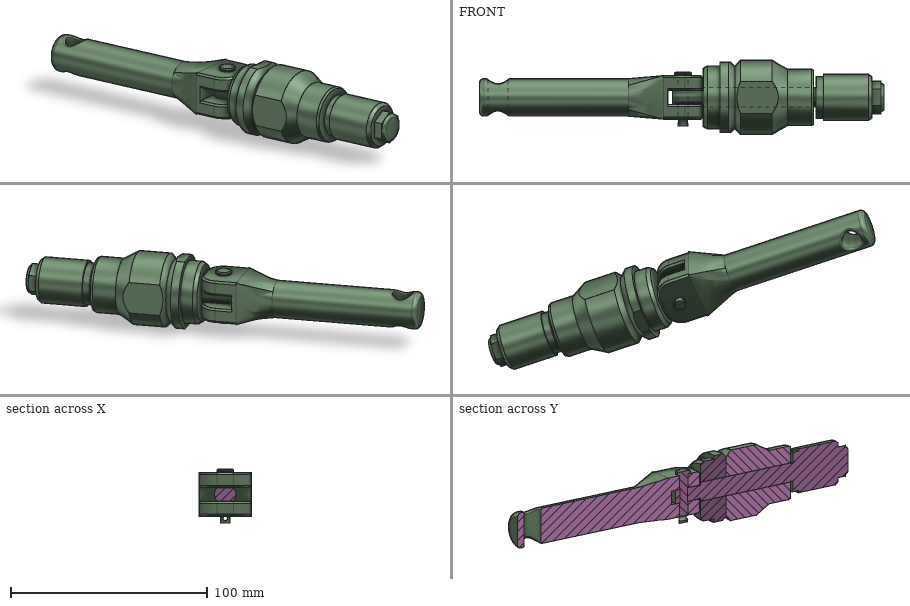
import cadquery as cq
import math

TOTAL_LENGTH = 206.5

GRIP_DIAMETER = 19.2
GRIP_LENGTH = 76.0
GRIP_END_FILLET = 2.5
LANYARD_HOLE_DIAMETER = 10.3
LANYARD_HOLE_X = 9.5
LANYARD_HOLE_FILLET = 1.0
FORK_START = 94.0
FORK_END = 114.0
FORK_WIDTH = 26.6
FORK_HEIGHT = 22.3
FORK_CORNER_RADIUS = 9.0
FORK_EDGE_CHAMFER = 1.0
SLOT_START = 96.2
SLOT_HEIGHT = 7.0

PIN_X = 103.8
PIN_DIAMETER = 5.0
PIN_BOTTOM = -14.7
PIN_HEAD_DIAMETER = 8.5
PIN_HEAD_HEIGHT = 1.9
PIN_HEAD_CHAMFER = 0.6
COTTER_HOLE_DIAMETER = 2.3
COTTER_HOLE_Z = -12.2

COLLAR_START = 114.2
COLLAR_RADIUS = 16.0
COLLAR_CHAMFER_LENGTH = 2.0
COLLAR_CHAMFER_DEPTH = 1.2
FLANGE_START = 122.6
FLANGE_CONE_START = 127.0
FLANGE_RADIUS = 19.1
GROOVE_RADIUS = 15.9
FLANGE_FLAT_DISTANCE = 36.0

HOUSING_START = 130.3
HOUSING_RADIUS = 19.0
HOUSING_BARREL_START = 133.2
HOUSING_BARREL_END = 149.3
HOUSING_CONE_ANGLE = 30
HOUSING_FLAT_DISTANCE = 34.3
NOSE_RADIUS = 14.5
NOSE_END = 170.5
NOSE_CHAMFER_LENGTH = 1.2
NOSE_CHAMFER_DEPTH = 0.6

ROD_DIAMETER = 10.0
TONGUE_DIAMETER = 11.1
TONGUE_START = 98.5
TONGUE_END_FILLET = 1.9
PLUG_START = 171.8
PLUG_NECK_RADIUS = 10.7
PLUG_SHOULDER = 175.5
PLUG_DIAMETER = 23.7
PLUG_END = 200.3
PLUG_CHAMFER_LENGTH = 1.9
PLUG_CHAMFER_DEPTH = 1.5
HEX_SIDES = 6
HEX_ACROSS_FLATS = 14.5
TIP_ROUND_LENGTH = 1.7


def cylinder_along_x(start, end, diameter):
    return cq.Workplane("YZ", origin=(start, 0, 0)).circle(diameter / 2).extrude(end - start)


def cylinder_along_z(x, bottom, top, diameter):
    return cq.Workplane("XY", origin=(x, 0, bottom)).circle(diameter / 2).extrude(top - bottom)


def block_along_x(start, end, width, height):
    return cq.Workplane("YZ", origin=(start, 0, 0)).rect(width, height).extrude(end - start)


def turned(points):
    """Solid of revolution about the X axis from (x, radius) points."""
    return cq.Workplane("XY").polyline(points).close().revolve(360, (0, 0, 0), (1, 0, 0))


def make_taper():
    """Blend from the round grip to the rectangular fork, with its ridges ending at the corners."""
    radius = GRIP_DIAMETER / 2
    diagonal = math.hypot(FORK_WIDTH, FORK_HEIGHT)
    corner_y = radius * FORK_WIDTH / diagonal
    corner_z = radius * FORK_HEIGHT / diagonal
    return (
        cq.Workplane("YZ", origin=(GRIP_LENGTH, 0, 0))
        .moveTo(-corner_y, -corner_z)
        .threePointArc((0, -radius), (corner_y, -corner_z))
        .threePointArc((radius, 0), (corner_y, corner_z))
        .threePointArc((0, radius), (-corner_y, corner_z))
        .threePointArc((-radius, 0), (-corner_y, -corner_z))
        .close()
        .workplane(offset=FORK_START - GRIP_LENGTH)
        .moveTo(-FORK_WIDTH / 2, -FORK_HEIGHT / 2)
        .lineTo(FORK_WIDTH / 2, -FORK_HEIGHT / 2)
        .lineTo(FORK_WIDTH / 2, FORK_HEIGHT / 2)
        .lineTo(-FORK_WIDTH / 2, FORK_HEIGHT / 2)
        .close()
        .loft(ruled=True)
    )


def make_fork():
    """Block with rounded free corners, slotted for the tongue and drilled for the pin."""
    fork = block_along_x(FORK_START, FORK_END, FORK_WIDTH, FORK_HEIGHT)
    fork = fork.edges("|Z and >X").fillet(FORK_CORNER_RADIUS)
    fork = fork.faces("<Z or >Z").edges("not <X").chamfer(FORK_EDGE_CHAMFER)
    fork = fork.cut(block_along_x(SLOT_START, FORK_END, FORK_WIDTH, SLOT_HEIGHT))
    slot_wall_edges = cq.selectors.BoxSelector(
        (SLOT_START + FORK_EDGE_CHAMFER, -FORK_WIDTH, -SLOT_HEIGHT),
        (FORK_END + FORK_EDGE_CHAMFER, FORK_WIDTH, SLOT_HEIGHT),
    )
    fork = fork.edges(slot_wall_edges).chamfer(FORK_EDGE_CHAMFER)
    return fork.cut(cylinder_along_z(PIN_X, -FORK_HEIGHT / 2, FORK_HEIGHT / 2, PIN_DIAMETER))


def make_handle():
    """Rounded grip with a lanyard hole, joined to the fork by the taper."""
    grip = cylinder_along_x(0, GRIP_LENGTH, GRIP_DIAMETER).faces("<X").edges().fillet(GRIP_END_FILLET)
    hole = cylinder_along_z(LANYARD_HOLE_X, -GRIP_DIAMETER, GRIP_DIAMETER, LANYARD_HOLE_DIAMETER)
    grip = grip.cut(hole)
    hole_rims = cq.selectors.BoxSelector(
        (LANYARD_HOLE_X - LANYARD_HOLE_DIAMETER, -GRIP_DIAMETER, -GRIP_DIAMETER),
        (LANYARD_HOLE_X + LANYARD_HOLE_DIAMETER, GRIP_DIAMETER, GRIP_DIAMETER),
    )
    grip = grip.edges(hole_rims).edges("not |Z").fillet(LANYARD_HOLE_FILLET)
    return grip.union(make_taper()).union(make_fork())


def make_pin():
    """Headed hinge pin with a cotter hole near its lower end."""
    head_bottom = FORK_HEIGHT / 2
    shank = cylinder_along_z(PIN_X, PIN_BOTTOM, head_bottom, PIN_DIAMETER)
    head = cylinder_along_z(PIN_X, head_bottom, head_bottom + PIN_HEAD_HEIGHT, PIN_HEAD_DIAMETER)
    head = head.edges().chamfer(PIN_HEAD_CHAMFER)
    cotter_hole = cylinder_along_x(-PIN_DIAMETER, PIN_DIAMETER, COTTER_HOLE_DIAMETER)
    return shank.union(head).cut(cotter_hole.translate((PIN_X, 0, COTTER_HOLE_Z)))


def make_collar():
    """Flanged collar with two wrench flats facing +Z and -Z."""
    collar = turned([
        (COLLAR_START, 0),
        (COLLAR_START, COLLAR_RADIUS - COLLAR_CHAMFER_DEPTH),
        (COLLAR_START + COLLAR_CHAMFER_LENGTH, COLLAR_RADIUS),
        (FLANGE_START, COLLAR_RADIUS),
        (FLANGE_START, FLANGE_RADIUS),
        (FLANGE_CONE_START, FLANGE_RADIUS),
        (HOUSING_START, GROOVE_RADIUS),
        (HOUSING_START, 0),
    ])
    flats = block_along_x(COLLAR_START, HOUSING_START, 2 * FLANGE_RADIUS, FLANGE_FLAT_DISTANCE)
    bore = cylinder_along_x(COLLAR_START, HOUSING_START, ROD_DIAMETER)
    return collar.intersect(flats).cut(bore)


def make_housing():
    """Stepped housing with two wrench flats facing +Y and -Y."""
    cone_length = (HOUSING_RADIUS - NOSE_RADIUS) / math.tan(math.radians(HOUSING_CONE_ANGLE))
    housing = turned([
        (HOUSING_START, 0),
        (HOUSING_START, GROOVE_RADIUS),
        (HOUSING_BARREL_START, HOUSING_RADIUS),
        (HOUSING_BARREL_END, HOUSING_RADIUS),
        (HOUSING_BARREL_END + cone_length, NOSE_RADIUS),
        (NOSE_END - NOSE_CHAMFER_LENGTH, NOSE_RADIUS),
        (NOSE_END, NOSE_RADIUS - NOSE_CHAMFER_DEPTH),
        (NOSE_END, 0),
    ])
    flats = block_along_x(HOUSING_START, NOSE_END, HOUSING_FLAT_DISTANCE, 2 * HOUSING_RADIUS)
    bore = cylinder_along_x(HOUSING_START, NOSE_END, ROD_DIAMETER)
    return housing.intersect(flats).cut(bore)


def make_tongue():
    """Rounded end, thicker than the rod, flattened to fit the fork slot and drilled for the pin."""
    tongue = cylinder_along_x(TONGUE_START, COLLAR_START, TONGUE_DIAMETER)
    tongue = tongue.faces("<X").edges().fillet(TONGUE_END_FILLET)
    tongue = tongue.intersect(block_along_x(TONGUE_START, COLLAR_START, TONGUE_DIAMETER, SLOT_HEIGHT))
    return tongue.cut(cylinder_along_z(PIN_X, -SLOT_HEIGHT, SLOT_HEIGHT, PIN_DIAMETER))


def make_hex_tip():
    """Hexagon with corners at +Z and -Z, ending in a rounded button."""
    button_start = TOTAL_LENGTH - TIP_ROUND_LENGTH
    corner_diameter = HEX_ACROSS_FLATS / math.cos(math.pi / HEX_SIDES)
    hexagon = (
        cq.Workplane("YZ", origin=(PLUG_END, 0, 0))
        .transformed(rotate=(0, 0, 90))
        .polygon(HEX_SIDES, corner_diameter)
        .extrude(button_start - PLUG_END)
    )
    radius = HEX_ACROSS_FLATS / 2
    flat_radius = radius - TIP_ROUND_LENGTH
    diagonal = TIP_ROUND_LENGTH * math.sqrt(0.5)
    button = (
        cq.Workplane("XY")
        .moveTo(button_start, 0)
        .lineTo(button_start, radius)
        .threePointArc((button_start + diagonal, flat_radius + diagonal), (TOTAL_LENGTH, flat_radius))
        .lineTo(TOTAL_LENGTH, 0)
        .close()
        .revolve(360, (0, 0, 0), (1, 0, 0))
    )
    return hexagon.union(button)


def make_plunger():
    """Tongue, rod through the collar and housing, stepped plug and hex tip in one piece."""
    plug_radius = PLUG_DIAMETER / 2
    rod = cylinder_along_x(COLLAR_START, PLUG_START, ROD_DIAMETER)
    plug = turned([
        (PLUG_START, 0),
        (PLUG_START, PLUG_NECK_RADIUS),
        (PLUG_SHOULDER, PLUG_NECK_RADIUS),
        (PLUG_SHOULDER, plug_radius),
        (PLUG_END - PLUG_CHAMFER_LENGTH, plug_radius),
        (PLUG_END, plug_radius - PLUG_CHAMFER_DEPTH),
        (PLUG_END, 0),
    ])
    return make_tongue().union(rod).union(plug).union(make_hex_tip())


handle = make_handle()
pin = make_pin()
collar = make_collar()
housing = make_housing()
plunger = make_plunger()

result = cq.Compound.makeCompound([
    handle.val(),
    pin.val(),
    collar.val(),
    housing.val(),
    plunger.val(),
])